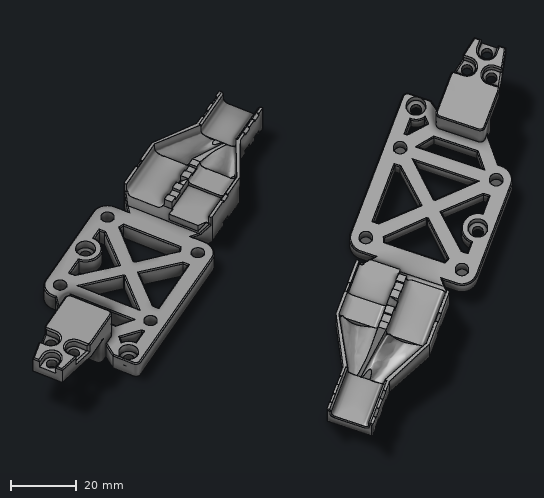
import cadquery as cq
import math

EDGE_CHAMFER = 0.4

PLATE_THICKNESS = 6.0
PLATE_WIDTH = 41.0
MOUNT_PITCH = 31.0
MOUNT_HOLE_DIAMETER = 4.0
MOUNT_HOLE_DEPTH = 5.0
PLATE_FRONT_Y = -33.1
FRONT_CORNER_RADIUS = 1.6
FRONT_EDGE_LEFT_X = 11.8
RIGHT_FLANK_FRONT_Y = -30.2
LEFT_FLANK_FRONT_Y = -28.8
LEFT_FLANK_BACK_X = -14.5

SCREW_DIAMETER = 3.3
SCREW_HEAD_DIAMETER = 6.0
SIDE_BOSS_RADIUS = 5.1
FRONT_BOSS_RADIUS = 4.7
PLATE_HEAD_DEPTH = 3.0
ARM_HEAD_DIAMETER = 5.3
ARM_HEAD_DEPTH = 2.8
SEAT_BEVEL = 0.5
SEAT_MOUTH_BEVEL = 0.6

POST_BACK_Y = -25.3
POST_FRONT_Y = -33.4
ARM_HALF_WIDTH = 7.9
ARM_TAPER_Y = -39.6
ARM_TIP_Y = -53.3
ARM_TIP_HALF_WIDTH = 5.1
ARM_BOTTOM_Z = 10.0
ARM_TOP_Z = 16.0
POST_CORNER_RADIUS = 1.6

TROUGH_HALF_WIDTH = 15.1
NECK_HALF_WIDTH = 11.0
TROUGH_FRONT_Y = 25.6
CONE_FRONT_Y = 43.7
CONE_BACK_Y = 58.5
TROUGH_BACK_Y = 73.6
OUTLET_HALF_WIDTH = 7.5
TROUGH_TOP_Z = 11.9
OUTLET_TOP_Z = 10.0
TROUGH_WALL = 1.0
WALL_END_Y = 25.3
OUTLET_WALL = 1.5
LEFT_FLOOR_Z = 8.0
RIGHT_FLOOR_Z = 10.0
OUTLET_FLOOR_Z = 5.7
CHANNEL_FILLET = 2.0
OUTLET_FILLET = 1.6
RIB_FILLET = 1.4
RIB_TIP_FILLET = 3.0
OUTLET_RIM_BEVEL = 0.6
RIB_LEFT_X = -1.1
RIB_RIGHT_X = 1.5
RIB_TIP_X = 1.8
RAMP_FOOT_Y = 22.5
PLATFORM_Z = 9.0
PLATFORM_FRONT_Y = 22.8
PLATFORM_BACK_Y = 35.9
PLATFORM_LEFT_X = 1.8
PLATFORM_RIGHT_X = 13.5
PLATFORM_TIP_X = 11.7

TIE_WIDTH = 2.9
TIE_BOTTOM_DEPTH = 2.0
TIE_TOP_DEPTH = 0.9
TIE_Y = 34.5
OUTLET_TIES_Y = (63.2, 69.3)
RIB_NOTCH_SPACING = 5.5
RIB_NOTCH_DEPTH = 1.0

half_pitch = MOUNT_PITCH / 2
plate_half_width = PLATE_WIDTH / 2
corner_radius = plate_half_width - half_pitch
plate_back_y = half_pitch + corner_radius
side_screw = (-half_pitch, 1.1)
front_screw = (half_pitch, -29.8)
post_middle_y = (POST_BACK_Y + POST_FRONT_Y) / 2
arm_side_screws = [(-3.9, -43.5), (3.9, -43.5)]
arm_tip_screw = (0, -50.5)


def prism(points, bottom, top):
    """Upright solid over a closed outline."""
    return cq.Workplane("XY").workplane(offset=bottom).polyline(points).close().extrude(top - bottom)


def mirrored(points):
    """Outline closed by the mirror image of its right-hand points."""
    return points + [(-x, y) for x, y in reversed(points)]


def neck_half_width(y):
    """Half width of the neck, which widens from the plate to the trough."""
    slope = (TROUGH_HALF_WIDTH - NECK_HALF_WIDTH) / (TROUGH_FRONT_Y - plate_back_y)
    return NECK_HALF_WIDTH + slope * (y - plate_back_y)


def block(x0, x1, y0, y1, z0, z1):
    """Box between two opposite corners."""
    return cq.Workplane("XY").box(x1 - x0, y1 - y0, z1 - z0, centered=False).translate((x0, y0, z0))


def side_prism(points, x0, x1):
    """Solid with a (y, z) outline between two x places."""
    return cq.Workplane("YZ").workplane(offset=x0).polyline(points).close().extrude(x1 - x0)


def make_plate():
    """Plate with a neck that reaches under the front of the trough."""
    diagonal = corner_radius * math.sqrt(0.5)
    outline = (
        cq.Workplane("XY")
        .moveTo(neck_half_width(WALL_END_Y), WALL_END_Y)
        .lineTo(NECK_HALF_WIDTH, plate_back_y)
        .lineTo(half_pitch, plate_back_y)
        .threePointArc((half_pitch + diagonal, half_pitch + diagonal), (plate_half_width, half_pitch))
        .lineTo(plate_half_width, PLATE_FRONT_Y + FRONT_CORNER_RADIUS)
        .radiusArc((plate_half_width - FRONT_CORNER_RADIUS, PLATE_FRONT_Y), FRONT_CORNER_RADIUS)
        .lineTo(FRONT_EDGE_LEFT_X, PLATE_FRONT_Y)
        .lineTo(ARM_HALF_WIDTH, RIGHT_FLANK_FRONT_Y)
        .lineTo(-ARM_HALF_WIDTH, LEFT_FLANK_FRONT_Y)
        .lineTo(LEFT_FLANK_BACK_X, -plate_back_y)
        .lineTo(-half_pitch, -plate_back_y)
        .threePointArc((-half_pitch - diagonal, -half_pitch - diagonal), (-plate_half_width, -half_pitch))
        .lineTo(-plate_half_width, half_pitch)
        .threePointArc((-half_pitch - diagonal, half_pitch + diagonal), (-half_pitch, plate_back_y))
        .lineTo(-NECK_HALF_WIDTH, plate_back_y)
        .lineTo(-neck_half_width(WALL_END_Y), WALL_END_Y)
        .close()
    )
    plate = outline.extrude(PLATE_THICKNESS).cut(make_windows())
    return plate.faces(">Z").chamfer(EDGE_CHAMFER)


def make_windows():
    """Openings that leave a cross between the mount holes, cut back to rings round the two screws."""
    right_triangle = [(3.4, 0), (13.5, 9.6), (15.1, 9.6), (15.1, -9.6), (13.5, -9.6)]
    back_triangle = mirrored([(0.1, 3.5), (10.2, 13.6), (9.6, 14.8)])
    front_triangle = mirrored([(0.1, -3.3), (9.9, -13.0)])
    front_trapezium = mirrored([(10.4, -17.6), (7.0, -22.1)])
    corner_triangle = [(15.0, -20.4), (15.5, -20.4), (15.5, -27.2), (11.8, -27.2), (10.4, -25.6)]
    windows = prism(right_triangle, 0, PLATE_THICKNESS)
    windows = windows.union(windows.mirror("YZ"))
    for outline in (back_triangle, front_triangle, front_trapezium, corner_triangle):
        windows = windows.union(prism(outline, 0, PLATE_THICKNESS))
    for point, radius in ((side_screw, SIDE_BOSS_RADIUS), (front_screw, FRONT_BOSS_RADIUS)):
        windows = windows.cut(cq.Workplane("XY").center(*point).circle(radius).extrude(PLATE_THICKNESS))
    return windows


def make_plate_holes():
    mounts = (
        cq.Workplane("XY")
        .workplane(offset=PLATE_THICKNESS)
        .rect(MOUNT_PITCH, MOUNT_PITCH, forConstruction=True)
        .vertices()
        .circle(MOUNT_HOLE_DIAMETER / 2)
        .extrude(-MOUNT_HOLE_DEPTH)
    )
    screws = (
        cq.Workplane("XY")
        .workplane(offset=PLATE_THICKNESS)
        .pushPoints([side_screw, front_screw])
        .circle(SCREW_DIAMETER / 2)
        .extrude(-PLATE_THICKNESS)
        .pushPoints([side_screw, front_screw])
        .circle(SCREW_HEAD_DIAMETER / 2)
        .extrude(-PLATE_HEAD_DEPTH)
    )
    return mounts.union(screws)


def make_arm():
    post = block(-ARM_HALF_WIDTH, ARM_HALF_WIDTH, POST_FRONT_Y, POST_BACK_Y, 0, ARM_TOP_Z)
    post = post.edges("|Z").fillet(POST_CORNER_RADIUS)
    beam = prism(
        [
            (-ARM_HALF_WIDTH, post_middle_y),
            (ARM_HALF_WIDTH, post_middle_y),
            (ARM_HALF_WIDTH, ARM_TAPER_Y),
            (ARM_TIP_HALF_WIDTH, ARM_TIP_Y),
            (-ARM_TIP_HALF_WIDTH, ARM_TIP_Y),
            (-ARM_HALF_WIDTH, ARM_TAPER_Y),
        ],
        ARM_BOTTOM_Z,
        ARM_TOP_Z,
    )
    return post.union(beam).faces(">Z").chamfer(EDGE_CHAMFER)


def make_open_seat(direction):
    """Screw-head recess at the origin that runs out through the arm edge, at an angle in degrees."""
    radius = ARM_HEAD_DIAMETER / 2
    length = ARM_HEAD_DIAMETER
    floor = ARM_TOP_Z - ARM_HEAD_DEPTH
    flare = [
        (-radius, ARM_TOP_Z - SEAT_BEVEL),
        (radius, ARM_TOP_Z - SEAT_BEVEL),
        (radius + SEAT_BEVEL, ARM_TOP_Z),
        (-radius - SEAT_BEVEL, ARM_TOP_Z),
    ]
    round_end = cq.Workplane("XY").workplane(offset=floor).circle(radius).extrude(ARM_HEAD_DEPTH)
    rim = cq.Workplane("XY").workplane(offset=ARM_TOP_Z - SEAT_BEVEL).circle(radius)
    rim = rim.workplane(offset=SEAT_BEVEL).circle(radius + SEAT_BEVEL).loft()
    slot = block(0, length, -radius, radius, floor, ARM_TOP_Z)
    seat = round_end.union(rim).union(slot).union(side_prism(flare, 0, length))
    return seat.rotate((0, 0, 0), (0, 0, 1), direction)


def make_seat_mouth(side, screw_y):
    """Flare where a side recess breaks through the tapered flank; side is -1 or 1."""
    taper = (ARM_HALF_WIDTH - ARM_TIP_HALF_WIDTH) / (ARM_TAPER_Y - ARM_TIP_Y)
    flank_x = side * (ARM_HALF_WIDTH - taper * (ARM_TAPER_Y - screw_y))
    flank = cq.Plane(origin=(flank_x, screw_y, ARM_TOP_Z), xDir=(0, 0, 1), normal=(side, -taper, 0))
    mouth = cq.Workplane(flank)
    mouth = mouth.rect(2 * (ARM_HEAD_DEPTH + SEAT_MOUTH_BEVEL), ARM_HEAD_DIAMETER + 2 * SEAT_MOUTH_BEVEL)
    mouth = mouth.workplane(offset=-SEAT_MOUTH_BEVEL).rect(2 * ARM_HEAD_DEPTH, ARM_HEAD_DIAMETER)
    return mouth.loft()


def make_arm_holes():
    points = arm_side_screws + [arm_tip_screw]
    holes = (
        cq.Workplane("XY")
        .workplane(offset=ARM_BOTTOM_Z)
        .pushPoints(points)
        .circle(SCREW_DIAMETER / 2)
        .extrude(ARM_TOP_Z - ARM_BOTTOM_Z)
    )
    for (x, y), direction in zip(points, (180, 0, -90)):
        holes = holes.union(make_open_seat(direction).translate((x, y, 0)))
    for x, y in arm_side_screws:
        holes = holes.union(make_seat_mouth(math.copysign(1, x), y))
    return holes


def make_trough_body():
    outline = mirrored(
        [
            (neck_half_width(WALL_END_Y), WALL_END_Y),
            (TROUGH_HALF_WIDTH, TROUGH_FRONT_Y),
            (TROUGH_HALF_WIDTH, CONE_FRONT_Y),
            (OUTLET_HALF_WIDTH, CONE_BACK_Y),
            (OUTLET_HALF_WIDTH, TROUGH_BACK_Y),
        ]
    )
    profile = [
        (WALL_END_Y, 0),
        (WALL_END_Y, TROUGH_TOP_Z),
        (CONE_FRONT_Y, TROUGH_TOP_Z),
        (CONE_BACK_Y, OUTLET_TOP_Z),
        (TROUGH_BACK_Y, OUTLET_TOP_Z),
        (TROUGH_BACK_Y, 0),
    ]
    body = prism(outline, 0, TROUGH_TOP_Z)
    return body.intersect(side_prism(profile, -TROUGH_HALF_WIDTH, TROUGH_HALF_WIDTH))


def make_ramp():
    """Slope of 45 degrees from the plate up to the channels, with bevelled sides."""
    ramp_top_z = PLATE_THICKNESS + WALL_END_Y - RAMP_FOOT_Y
    outline = mirrored(
        [
            (neck_half_width(RAMP_FOOT_Y), RAMP_FOOT_Y),
            (neck_half_width(WALL_END_Y), WALL_END_Y),
        ]
    )
    profile = [
        (RAMP_FOOT_Y, 0),
        (RAMP_FOOT_Y, PLATE_THICKNESS),
        (WALL_END_Y, ramp_top_z),
        (WALL_END_Y, 0),
    ]
    ramp = prism(outline, 0, ramp_top_z)
    ramp = ramp.intersect(side_prism(profile, -TROUGH_HALF_WIDTH, TROUGH_HALF_WIDTH))
    return ramp.faces(">(0, -1, 1)").edges("not |X").chamfer(EDGE_CHAMFER)


def channel_section(y, x0, x1, floor, radius0, radius1, smooth):
    """Cross-section of a channel open above the walls; a smooth one has its whole underside in one curve."""
    bulge = 1 - math.sqrt(0.5)
    rim = TROUGH_TOP_Z + CHANNEL_FILLET
    underside = [
        (x0, floor + radius0),
        (x0 + radius0 * bulge, floor + radius0 * bulge),
        (x0 + radius0, floor),
        (x1 - radius1, floor),
        (x1 - radius1 * bulge, floor + radius1 * bulge),
        (x1, floor + radius1),
    ]
    plane = cq.Plane(origin=(0, y, 0), xDir=(1, 0, 0), normal=(0, -1, 0))
    section = cq.Workplane(plane).moveTo(x0, rim).lineTo(*underside[0])
    if smooth:
        section = section.spline(underside[1:], tangents=[(0, -1), (0, 1)], includeCurrent=True)
    else:
        section = section.threePointArc(underside[1], underside[2]).lineTo(*underside[3])
        section = section.threePointArc(underside[4], underside[5])
    return section.lineTo(x1, rim).close().wire().val()


def make_channel(front_y, front, back_y, back, smooth=False):
    """Channel that blends from one section to another."""
    wires = [channel_section(front_y, *front, smooth), channel_section(back_y, *back, smooth)]
    return cq.Workplane(obj=cq.Solid.makeLoft(wires, True))


def make_channels():
    inner = TROUGH_HALF_WIDTH - TROUGH_WALL
    outlet = OUTLET_HALF_WIDTH - OUTLET_WALL
    left = (-inner, RIB_LEFT_X, LEFT_FLOOR_Z, CHANNEL_FILLET, CHANNEL_FILLET)
    right = (RIB_RIGHT_X, inner, RIGHT_FLOOR_Z, RIB_FILLET, CHANNEL_FILLET)
    left_end = (-outlet, RIB_TIP_X, OUTLET_FLOOR_Z, OUTLET_FILLET, RIB_TIP_FILLET)
    right_end = (RIB_TIP_X, outlet, OUTLET_FLOOR_Z, RIB_FILLET, OUTLET_FILLET)
    out = (-outlet, outlet, OUTLET_FLOOR_Z, OUTLET_FILLET, OUTLET_FILLET)
    cutter = make_channel(RAMP_FOOT_Y, left, CONE_FRONT_Y, left)
    cutter = cutter.union(make_channel(CONE_FRONT_Y, left, CONE_BACK_Y, left_end, smooth=True))
    cutter = cutter.union(make_channel(PLATFORM_BACK_Y, right, CONE_FRONT_Y, right))
    cutter = cutter.union(make_channel(CONE_FRONT_Y, right, CONE_BACK_Y, right_end, smooth=True))
    cutter = cutter.union(make_channel(CONE_BACK_Y, out, TROUGH_BACK_Y, out))
    above_platform = block(RIB_RIGHT_X, inner, WALL_END_Y, PLATFORM_BACK_Y, PLATFORM_Z, TROUGH_TOP_Z)
    rib_slope = [
        (CONE_FRONT_Y, TROUGH_TOP_Z),
        (CONE_BACK_Y, TROUGH_TOP_Z),
        (CONE_BACK_Y, OUTLET_FLOOR_Z),
    ]
    above_rib = side_prism(rib_slope, RIB_LEFT_X, RIB_TIP_X + RIB_FILLET)
    return cutter.union(above_platform).union(above_rib)


def make_outlet_rim():
    """Bevel along the inner top edges of the outlet walls."""
    inner = OUTLET_HALF_WIDTH - OUTLET_WALL
    plane = cq.Plane(origin=(0, TROUGH_BACK_Y, 0), xDir=(1, 0, 0), normal=(0, -1, 0))
    rim = cq.Workplane(plane).polyline(
        [
            (-inner, OUTLET_TOP_Z - OUTLET_RIM_BEVEL),
            (inner, OUTLET_TOP_Z - OUTLET_RIM_BEVEL),
            (inner + OUTLET_RIM_BEVEL, OUTLET_TOP_Z),
            (-inner - OUTLET_RIM_BEVEL, OUTLET_TOP_Z),
        ]
    )
    return rim.close().extrude(TROUGH_BACK_Y - CONE_BACK_Y)


def make_platform():
    outline = [
        (PLATFORM_LEFT_X, PLATFORM_BACK_Y),
        (PLATFORM_RIGHT_X, PLATFORM_BACK_Y),
        (PLATFORM_RIGHT_X, TROUGH_FRONT_Y),
        (PLATFORM_TIP_X, PLATFORM_FRONT_Y),
        (PLATFORM_LEFT_X, PLATFORM_FRONT_Y),
    ]
    return prism(outline, 0, PLATFORM_Z)


def make_rib_notches():
    """Two square notches across the rib with a bevelled one between them."""
    middle = (
        cq.Workplane(cq.Plane(origin=(0, TIE_Y + TIE_WIDTH / 2, 0), xDir=(1, 0, 0), normal=(0, -1, 0)))
        .polyline(
            [
                (RIB_LEFT_X, TROUGH_TOP_Z),
                (RIB_RIGHT_X, TROUGH_TOP_Z),
                (RIB_LEFT_X, TROUGH_TOP_Z - (RIB_RIGHT_X - RIB_LEFT_X)),
            ]
        )
        .close()
        .extrude(TIE_WIDTH)
    )
    bottom = TROUGH_TOP_Z - RIB_NOTCH_DEPTH
    notch = block(RIB_LEFT_X, RIB_RIGHT_X, -TIE_WIDTH / 2, TIE_WIDTH / 2, bottom, TROUGH_TOP_Z)
    front = notch.translate((0, TIE_Y - RIB_NOTCH_SPACING, 0))
    back = notch.translate((0, TIE_Y + RIB_NOTCH_SPACING, 0))
    return middle.union(front).union(back)


def make_tie_notches(y, half_width, top):
    """Bevelled notches in the four long edges of the trough, where a cable tie wraps round it."""
    plane = cq.Plane(origin=(0, y + TIE_WIDTH / 2, 0), xDir=(1, 0, 0), normal=(0, -1, 0))
    notches = cq.Workplane(plane)
    for side in (-half_width, half_width):
        for edge, depth in ((0, TIE_BOTTOM_DEPTH), (top, -TIE_TOP_DEPTH)):
            inward = -math.copysign(depth, side)
            notches = notches.polyline([(side, edge), (side + inward, edge), (side, edge + depth)]).close()
    return notches.extrude(TIE_WIDTH)


def make_trough():
    channels = make_channels()
    trough = make_trough_body().cut(channels).cut(make_outlet_rim())
    trough = trough.faces("<Z or >Y").edges("not <Y").chamfer(EDGE_CHAMFER)
    trough = trough.union(make_ramp().cut(channels))
    trough = trough.union(make_platform()).cut(make_rib_notches())
    trough = trough.cut(make_tie_notches(TIE_Y, TROUGH_HALF_WIDTH, TROUGH_TOP_Z))
    for y in OUTLET_TIES_Y:
        trough = trough.cut(make_tie_notches(y, OUTLET_HALF_WIDTH, OUTLET_TOP_Z))
    return trough


base = make_plate().union(make_trough()).cut(make_plate_holes())
arm = make_arm().cut(make_arm_holes())
result = base.union(arm)